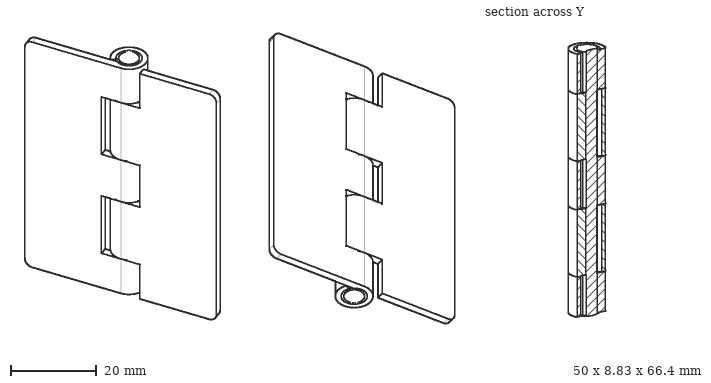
import cadquery as cq
import math

hinge_width = 50.0
hinge_length = 66.4
leaf_height = 65.0
leaf_thickness = 2.0
corner_radius = 2.0

knuckle_radius = 4.415
bore_radius = knuckle_radius - leaf_thickness
window_edge = 5.0
curl_end_gap = 0.6
end_knuckle_height = 9.95
middle_knuckle_height = 12.0
inner_knuckle_height = (leaf_height - 2 * end_knuckle_height - middle_knuckle_height) / 2

head_radius = 3.05
head_height = (hinge_length - leaf_height) / 2

half_leaf = leaf_height / 2
half_middle = middle_knuckle_height / 2
outer_leaf_knuckles = [
    (-half_leaf, end_knuckle_height),
    (-half_middle, middle_knuckle_height),
    (half_leaf - end_knuckle_height, end_knuckle_height),
]
inner_leaf_knuckles = [
    (-half_middle - inner_knuckle_height, inner_knuckle_height),
    (half_middle, inner_knuckle_height),
]


def make_plate():
    """Flat plate on the -X side, with its two outer corners rounded."""
    plate_width = hinge_width / 2 - window_edge
    return (
        cq.Workplane("XY")
        .box(plate_width, leaf_thickness, leaf_height, centered=(False, False, True))
        .translate((-hinge_width / 2, -knuckle_radius, 0))
        .edges("|Y and <X")
        .fillet(corner_radius)
    )


def make_knuckle(bottom, height):
    """Strip of sheet that leaves the plate and rolls around the pin until it nears itself."""
    end_angle = math.asin(bore_radius / knuckle_radius) - math.radians(curl_end_gap)
    end_x = -math.cos(end_angle)
    end_y = -math.sin(end_angle)
    return (
        cq.Workplane("XY", origin=(0, 0, bottom))
        .moveTo(-window_edge, -knuckle_radius)
        .lineTo(0, -knuckle_radius)
        .threePointArc(
            (knuckle_radius, 0),
            (knuckle_radius * end_x, knuckle_radius * end_y),
        )
        .lineTo(bore_radius * end_x, bore_radius * end_y)
        .threePointArc((bore_radius, 0), (0, -bore_radius))
        .lineTo(-window_edge, -bore_radius)
        .close()
        .extrude(height)
    )


def make_leaf(knuckles):
    """Leaf on the -X side: the plate joined to its rolled knuckles."""
    leaf = make_plate()
    for bottom, height in knuckles:
        leaf = leaf.union(make_knuckle(bottom, height))
    return leaf


def make_pin():
    """Shank filling the bore, with a low domed head against each end of the knuckles."""
    top = hinge_length / 2
    dome_radius = (head_radius**2 + head_height**2) / (2 * head_height)
    half_arc = math.asin(head_radius / dome_radius) / 2
    dome_x = dome_radius * math.sin(half_arc)
    dome_z = top - dome_radius * (1 - math.cos(half_arc))
    return (
        cq.Workplane("XZ")
        .moveTo(0, -top)
        .threePointArc((dome_x, -dome_z), (head_radius, -half_leaf))
        .lineTo(bore_radius, -half_leaf)
        .lineTo(bore_radius, half_leaf)
        .lineTo(head_radius, half_leaf)
        .threePointArc((dome_x, dome_z), (0, top))
        .close()
        .revolve(360, (0, 0, 0), (0, 1, 0))
    )


outer_leaf = make_leaf(outer_leaf_knuckles)
inner_leaf = make_leaf(inner_leaf_knuckles).mirror("YZ")
pin = make_pin()

result = cq.Compound.makeCompound([outer_leaf.val(), inner_leaf.val(), pin.val()])